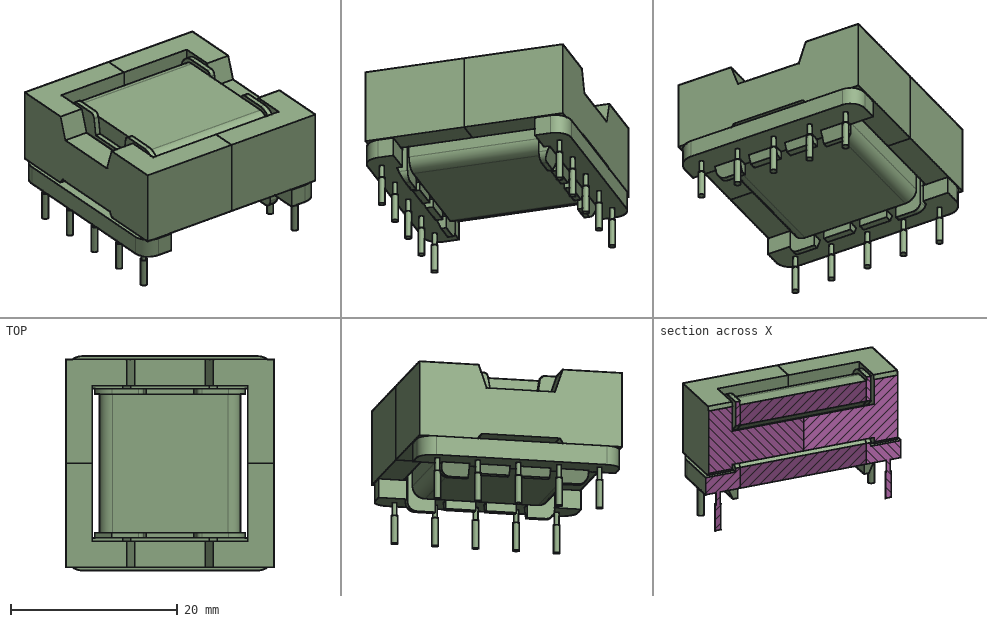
import cadquery as cq


overall_height = 16.6
core_bottom_z = 7.43
rail_top_z = 7.33
rail_bottom_z = 5.0
pin_step_z = 3.43

core_width = 25.0
window_width = 18.69
top_notch_floor_z = 13.75
top_notch_floor_width = 8.45
top_notch_mouth_width = 10.38
bottom_recess_depth = 0.62
bottom_recess_mouth_width = 10.48
bottom_recess_floor_width = 9.6
leg_width = 11.4
leg_height = 5.05
leg_chamfer = 0.98
leg_bottom_z = core_bottom_z + bottom_recess_depth
leg_middle_z = leg_bottom_z + leg_height / 2

leg_clearance = 0.25
passage_width = leg_width + 2 * leg_clearance
passage_height = leg_height + 2 * leg_clearance

winding_width = 16.98
winding_length = 16.65
winding_top_z = 16.1
winding_bottom_z = rail_bottom_z
winding_corner_radius = 1.52

flange_width = 18.12
flange_thickness = 0.65
flange_corner = 2.06
flange_notch_floor_z = 13.89
flange_notch_floor_width = 5.73
flange_notch_mouth_width = 6.58
flange_notch_rounding = 0.62
flange_inner_y = winding_length / 2
flange_outer_y = flange_inner_y + flange_thickness

overall_length = 25.8
rail_width = core_width
rail_depth = overall_length / 2 - flange_outer_y
rail_corner_radius = 2.0

foot_bottom_z = pin_step_z
middle_foot_bottom_z = 3.95
foot_flare = 0.72
foot_corner_radius = 1.05
wire_slot_width = 1.32

pin_count = 5
pin_pitch = 5.0
pin_y = 11.25
pin_neck_diameter = 0.6
pin_diameter = 0.8


def block(width, length, height, bottom_z):
    """Box centred on X = Y = 0 that stands on bottom_z."""
    return cq.Workplane("XY").workplane(offset=bottom_z).rect(width, length).extrude(height)


def bar_along_y(points, length):
    """Bar of the given XZ outline, centred on Y = 0."""
    return cq.Workplane("XZ").polyline(points).close().extrude(length / 2, both=True)


def trapezoid(width_1, z_1, width_2, z_2):
    """XZ outline, symmetric about X = 0, with one width at z_1 and another at z_2."""
    return [(-width_1 / 2, z_1), (width_1 / 2, z_1), (width_2 / 2, z_2), (-width_2 / 2, z_2)]


def octagonal_bar(width, height, length):
    """Bar along Y around the leg axis, with its four long edges chamfered."""
    bar = block(width, length, height, leg_middle_z - height / 2)
    return bar.edges("|Y").chamfer(leg_chamfer)


def passage():
    return octagonal_bar(passage_width, passage_height, overall_length)


def make_core_half(side):
    """Core half on the -Y side (side = -1) or the +Y side (side = 1)."""
    core_height = overall_height - core_bottom_z
    frame = block(core_width, core_width, core_height, core_bottom_z)
    window = block(window_width, window_width, core_height, core_bottom_z)
    top_notch = bar_along_y(
        trapezoid(top_notch_floor_width, top_notch_floor_z, top_notch_mouth_width, overall_height),
        core_width,
    )
    bottom_recess = bar_along_y(
        trapezoid(bottom_recess_mouth_width, core_bottom_z, bottom_recess_floor_width, leg_bottom_z),
        core_width,
    )
    leg = octagonal_bar(leg_width, leg_height, window_width)
    core = frame.cut(window).cut(top_notch).cut(bottom_recess).union(leg)
    half_space = block(core_width, core_width / 2, overall_height, 0).translate((0, side * core_width / 4, 0))
    return core.intersect(half_space)


def make_winding():
    winding = block(winding_width, winding_length, winding_top_z - winding_bottom_z, winding_bottom_z)
    return winding.edges("|Y").fillet(winding_corner_radius).cut(passage())


def make_flange(marked_corner):
    """Flange plate on the -Y side; its -X top corner is cut straight when marked_corner is true."""
    plate = block(flange_width, flange_thickness, overall_height - rail_bottom_z, rail_bottom_z)
    plate = plate.edges("|Y and >X and >Z").fillet(flange_corner)
    left_corner = plate.edges("|Y and <X and >Z")
    plate = left_corner.chamfer(flange_corner) if marked_corner else left_corner.fillet(flange_corner)
    notch = bar_along_y(
        trapezoid(flange_notch_floor_width, flange_notch_floor_z, flange_notch_mouth_width, overall_height),
        flange_thickness,
    )
    notch_rim = cq.selectors.BoxSelector(
        (-flange_notch_mouth_width, -flange_thickness, flange_notch_floor_z + flange_notch_rounding),
        (flange_notch_mouth_width, flange_thickness, overall_height + flange_thickness),
    )
    plate = plate.cut(notch).edges("|Y").edges(notch_rim).fillet(flange_notch_rounding)
    return plate.translate((0, -(flange_inner_y + flange_outer_y) / 2, 0)).cut(passage())


def make_rail():
    height = rail_top_z - rail_bottom_z
    rail = block(rail_width, rail_depth, height, rail_bottom_z)
    rail = rail.edges("|Z and <Y").fillet(rail_corner_radius)
    return rail.translate((0, -(flange_outer_y + rail_depth / 2), 0))


def make_feet():
    """Four feet with sloping outer faces, split by the wire slots; the middle two are shorter."""
    profile = [
        (-flange_inner_y, rail_bottom_z),
        (-flange_outer_y - foot_flare, rail_bottom_z),
        (-flange_outer_y, foot_bottom_z),
        (-flange_inner_y, foot_bottom_z),
    ]
    strip = cq.Workplane("YZ").polyline(profile).close().extrude(flange_width / 2, both=True)
    foot_height = rail_bottom_z - foot_bottom_z
    rounded_outline = block(flange_width, overall_length, foot_height, foot_bottom_z)
    strip = strip.intersect(rounded_outline.edges("|Y and <Z").fillet(foot_corner_radius))
    middle_cut = block(2 * pin_pitch, overall_length, middle_foot_bottom_z - foot_bottom_z, foot_bottom_z)
    strip = strip.cut(middle_cut)
    for slot_x in (-pin_pitch, 0, pin_pitch):
        slot = block(wire_slot_width, overall_length, foot_height, foot_bottom_z)
        strip = strip.cut(slot.translate((slot_x, 0, 0)))
    return strip


def make_pin(x):
    neck = cq.Workplane("XY").circle(pin_neck_diameter / 2).extrude(rail_bottom_z)
    shank = cq.Workplane("XY").circle(pin_diameter / 2).extrude(pin_step_z)
    return neck.union(shank).translate((x, -pin_y, 0))


def make_bobbin_end(marked_corner):
    """Flange, rail, feet and pins of the bobbin end on the -Y side."""
    bobbin_end = make_flange(marked_corner).union(make_rail()).union(make_feet())
    for index in range(pin_count):
        bobbin_end = bobbin_end.union(make_pin((index - (pin_count - 1) / 2) * pin_pitch))
    return bobbin_end


core_halves = [make_core_half(side) for side in (-1, 1)]
winding = make_winding()
front_bobbin_end = make_bobbin_end(marked_corner=True)
back_bobbin_end = make_bobbin_end(marked_corner=False).mirror("XZ")

result = cq.Compound.makeCompound([
    *[half.val() for half in core_halves],
    winding.val(),
    front_bobbin_end.val(),
    back_bobbin_end.val(),
])